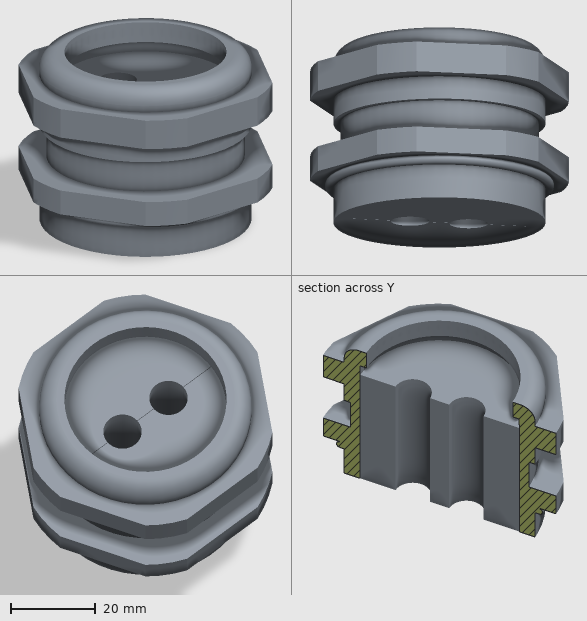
import math

import cadquery as cq

main_diameter = 50.0
neck_diameter = 46.8
seal_diameter = 54.0
thread_height = 8.0
seal_height = 1.95
lower_hex_height = 6.0
neck_height = 8.0
collar_height = 5.4
upper_hex_height = 7.2
total_height = 42.0
rim_fillet = 3.95

hex_across_flats = 57.0
hex_corner_diameter = 60.9
hex_sides = 6
hex_point_diameter = hex_across_flats / math.cos(math.pi / hex_sides)

recess_diameter = 38.2
recess_depth = 8.0
lip_depth = 5.0
undercut_diameter = 41.4
cable_hole_diameter = 9.0
cable_hole_spacing = 14.0
slit_width = 0.1

seal_base = thread_height
lower_hex_base = seal_base + seal_height
neck_base = lower_hex_base + lower_hex_height
collar_base = neck_base + neck_height
upper_hex_base = collar_base + collar_height
cap_base = upper_hex_base + upper_hex_height
floor_height = total_height - recess_depth


def disc(diameter, base, height):
    return cq.Workplane("XY").workplane(offset=base).circle(diameter / 2).extrude(height)


def turned_hexagon(base, height):
    hexagon = (
        cq.Workplane("XY")
        .workplane(offset=base)
        .polygon(hex_sides, hex_point_diameter)
        .extrude(height)
    )
    return hexagon.intersect(disc(hex_corner_diameter, base, height))


seal_ring_radius = (seal_diameter - seal_height) / 2
seal_ring = (
    cq.Workplane("XZ")
    .center(seal_ring_radius, seal_base + seal_height / 2)
    .circle(seal_height / 2)
    .revolve(360, (-seal_ring_radius, 0), (-seal_ring_radius, 1))
)
seal = disc(2 * seal_ring_radius, seal_base, seal_height).union(seal_ring)

cap = disc(main_diameter, cap_base, total_height - cap_base).faces(">Z").edges().fillet(rim_fillet)

result = (
    disc(main_diameter, 0, thread_height)
    .union(seal)
    .union(turned_hexagon(lower_hex_base, lower_hex_height))
    .union(disc(neck_diameter, neck_base, neck_height))
    .union(disc(main_diameter, collar_base, collar_height))
    .union(turned_hexagon(upper_hex_base, upper_hex_height))
    .union(cap)
)

undercut = disc(undercut_diameter, floor_height, recess_depth - lip_depth)
result = result.cut(disc(recess_diameter, floor_height, recess_depth)).cut(undercut)

cable_holes = (
    cq.Workplane("XY")
    .pushPoints([(-cable_hole_spacing / 2, 0), (cable_hole_spacing / 2, 0)])
    .circle(cable_hole_diameter / 2)
    .extrude(total_height)
)
result = result.cut(cable_holes)

slit = cq.Workplane("XY").rect(undercut_diameter, slit_width).extrude(floor_height)
result = result.cut(slit)